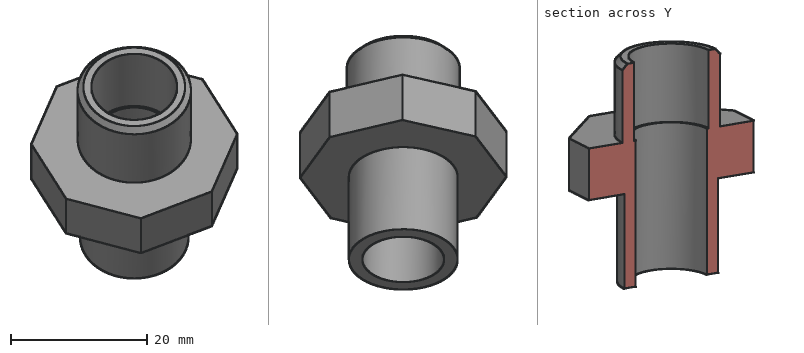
import cadquery as cq
import math

total_height = 34.5
nut_height = 8.0
upper_height = 12.0
lower_height = total_height - nut_height - upper_height

side_count = 8
across_flats = 28.0
across_corners = across_flats / math.cos(math.pi / side_count)

upper_diameter = 16.65
lower_diameter = 16.0
upper_chamfer = 0.85
upper_bore = 12.6
lower_bore = 12.0


def make_nut():
    """Regular octagon with flats facing the X and Y axes."""
    return (
        cq.Workplane("XY")
        .workplane(offset=lower_height)
        .transformed(rotate=(0, 0, 180 / side_count))
        .polygon(side_count, across_corners)
        .extrude(nut_height)
    )


def make_cylinder(diameter, bottom, height):
    """Vertical cylinder on the common axis."""
    return cq.Workplane("XY").workplane(offset=bottom).circle(diameter / 2).extrude(height)


nut_top = lower_height + nut_height
lower_spigot = make_cylinder(lower_diameter, 0, lower_height)
upper_spigot = make_cylinder(upper_diameter, nut_top, upper_height).faces(">Z").chamfer(upper_chamfer)
body = make_nut().union(lower_spigot).union(upper_spigot)

through_hole = make_cylinder(lower_bore, 0, total_height)
upper_hole = make_cylinder(upper_bore, nut_top, upper_height)
result = body.cut(through_hole).cut(upper_hole)